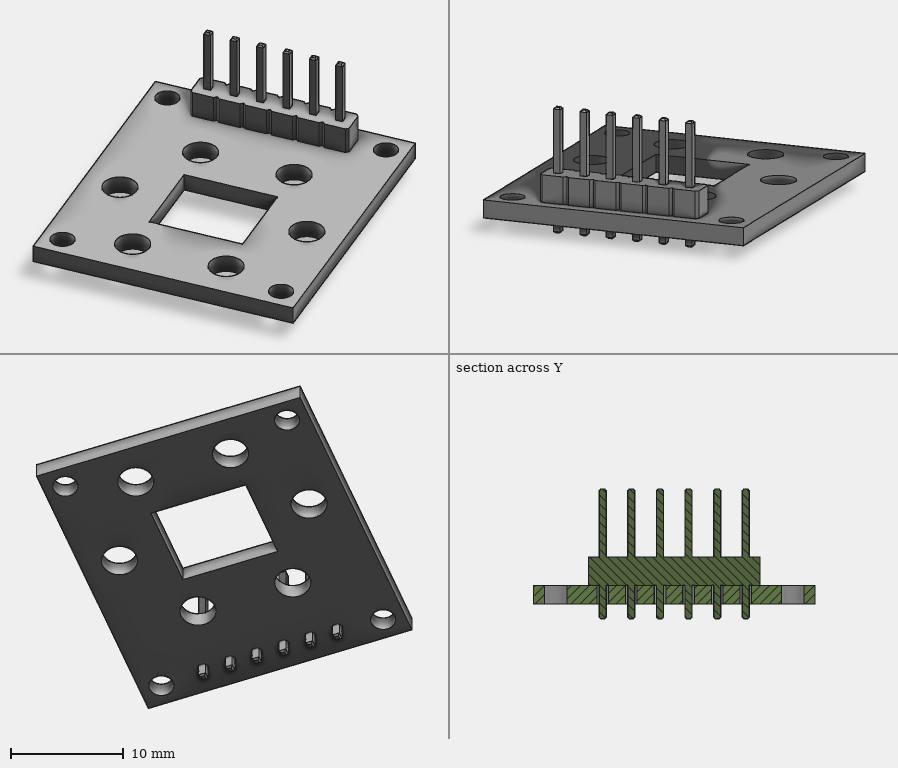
import cadquery as cq
import math

BOARD_WIDTH = 25.0
BOARD_LENGTH = 28.0
BOARD_THICKNESS = 1.65

MOUNT_HOLE_DIAMETER = 2.2
MOUNT_HOLE_INSET = 2.0

WINDOW_CENTER_Y = -2.5
WINDOW_WIDTH = 9.0
WINDOW_LENGTH = 8.0
RING_HOLE_COUNT = 6
RING_HOLE_DIAMETER = 3.2
RING_RADIUS = 9.0

PIN_COUNT = 6
HEADER_LENGTH = 15.23
HEADER_EDGE_DISTANCE = 2.5
BLOCK_CHAMFER = 0.25
PIN_WIDTH = 0.65
PIN_LENGTH = 11.55
PIN_TAIL = 2.97
PIN_HOLE_DIAMETER = 1.0

PITCH = HEADER_LENGTH / PIN_COUNT
BLOCK_HEIGHT = PITCH
HEADER_Y = BOARD_LENGTH / 2 - HEADER_EDGE_DISTANCE
PIN_TIP_SIZE = PIN_WIDTH / 4
PIN_BOTTOM_Z = BOARD_THICKNESS - PIN_TAIL
PIN_POSITIONS = [((i - (PIN_COUNT - 1) / 2) * PITCH, HEADER_Y) for i in range(PIN_COUNT)]


def drill(board, positions, diameter):
    """Cut round through-holes into the board."""
    drills = cq.Workplane("XY").pushPoints(positions).circle(diameter / 2).extrude(BOARD_THICKNESS)
    return board.cut(drills)


def mount_hole_positions():
    """Centres of the four corner holes."""
    x = BOARD_WIDTH / 2 - MOUNT_HOLE_INSET
    y = BOARD_LENGTH / 2 - MOUNT_HOLE_INSET
    return [(x, y), (-x, y), (-x, -y), (x, -y)]


def ring_hole_positions():
    """Centres of the large holes, evenly spaced around the window."""
    angles = [2 * math.pi * i / RING_HOLE_COUNT for i in range(RING_HOLE_COUNT)]
    return [
        (RING_RADIUS * math.cos(a), WINDOW_CENTER_Y + RING_RADIUS * math.sin(a))
        for a in angles
    ]


def make_board():
    """Flat board with window, ring holes, mounting holes and pin holes."""
    board = cq.Workplane("XY").rect(BOARD_WIDTH, BOARD_LENGTH).extrude(BOARD_THICKNESS)
    window = (
        cq.Workplane("XY")
        .center(0, WINDOW_CENTER_Y)
        .rect(WINDOW_WIDTH, WINDOW_LENGTH)
        .extrude(BOARD_THICKNESS)
    )
    board = board.cut(window)
    board = drill(board, mount_hole_positions(), MOUNT_HOLE_DIAMETER)
    board = drill(board, ring_hole_positions(), RING_HOLE_DIAMETER)
    return drill(board, PIN_POSITIONS, PIN_HOLE_DIAMETER)


def make_block(x, y):
    """Square header block standing on the board, with chamfered upright edges."""
    return (
        cq.Workplane("XY", origin=(x, y, BOARD_THICKNESS))
        .rect(PITCH, PITCH)
        .extrude(BLOCK_HEIGHT)
        .edges("|Z")
        .chamfer(BLOCK_CHAMFER)
    )


def make_pin(x, y):
    """Square pin through block and board, tapered at both ends."""
    return (
        cq.Workplane("XY", origin=(x, y, PIN_BOTTOM_Z))
        .rect(PIN_WIDTH, PIN_WIDTH)
        .extrude(PIN_LENGTH)
        .faces("<Z")
        .chamfer(PIN_TIP_SIZE)
        .faces(">Z")
        .chamfer(PIN_TIP_SIZE)
    )


def make_header():
    """Header in one piece: all blocks joined side by side with their pins."""
    header = cq.Workplane("XY")
    for x, y in PIN_POSITIONS:
        header = header.union(make_block(x, y)).union(make_pin(x, y))
    return header


board = make_board()
header = make_header()

result = cq.Compound.makeCompound([board.solids().val(), header.solids().val()])